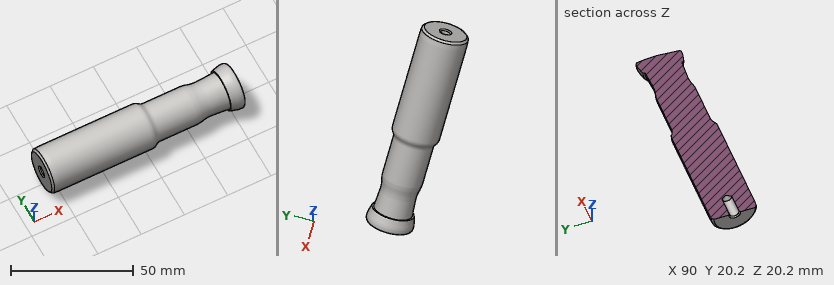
import cadquery as cq
import math

length = 90.0

shank_radius = 10.1
end_face_radius = 9.0
chamfer_length = 0.9
lead_in_radius = 9.9
lead_in_end = 3.2

shoulder_start = 46.4
cone_start = 48.0
cone_start_radius = 9.7
cone_end = 49.1
cone_end_radius = 9.0
neck_start = 50.8
neck_radius = 8.55

neck_end = 68.0
waist_start = 70.5
waist_start_radius = 8.2
waist_seam = 74.9
waist_radius = 7.65

head_start = 83.0
head_root_radius = 8.2
head_back_radius = 8.9
flare_start = 83.5
flare_start_radius = 9.2
flare_end = 86.0
flare_end_radius = 9.8
rim_start = 87.1
rim_end = 88.1
rim_radius = 10.0
dome_start = 89.3
dome_edge_radius = 9.3

hole_radius = 2.1
hole_mouth_radius = 2.6
countersink_depth = 0.5
hole_depth = 9.0
drill_point_angle = 118.0


def make_body():
    """Revolve the half outline around the X axis."""
    outline = (
        cq.Workplane("XY")
        .lineTo(0, end_face_radius)
        .lineTo(chamfer_length, lead_in_radius)
        .lineTo(lead_in_end, shank_radius)
        .lineTo(shoulder_start, shank_radius)
        .tangentArcPoint((cone_start, cone_start_radius), relative=False)
        .lineTo(cone_end, cone_end_radius)
        .tangentArcPoint((neck_start, neck_radius), relative=False)
        .lineTo(neck_end, neck_radius)
        .tangentArcPoint((waist_start, waist_start_radius), relative=False)
        .tangentArcPoint((waist_seam, waist_radius), relative=False)
        .tangentArcPoint((head_start, head_root_radius), relative=False)
        .lineTo(head_start, head_back_radius)
        .lineTo(flare_start, flare_start_radius)
        .lineTo(flare_end, flare_end_radius)
        .tangentArcPoint((rim_start, rim_radius), relative=False)
        .lineTo(rim_end, rim_radius)
        .tangentArcPoint((dome_start, dome_edge_radius), relative=False)
    )
    dome_height = length - dome_start
    dome_radius = (dome_edge_radius**2 + dome_height**2) / (2 * dome_height)
    mid_radius = dome_edge_radius / 2
    mid_x = length - dome_radius + math.sqrt(dome_radius**2 - mid_radius**2)
    outline = outline.threePointArc((mid_x, mid_radius), (length, 0)).close()
    return outline.revolve(360, (0, 0, 0), (1, 0, 0))


def make_hole():
    """Countersunk blind hole with a conical drill point."""
    point_length = hole_radius / math.tan(math.radians(drill_point_angle / 2))
    return (
        cq.Workplane("XY")
        .lineTo(0, hole_mouth_radius)
        .lineTo(countersink_depth, hole_radius)
        .lineTo(hole_depth, hole_radius)
        .lineTo(hole_depth + point_length, 0)
        .close()
        .revolve(360, (0, 0, 0), (1, 0, 0))
    )


result = make_body().cut(make_hole())